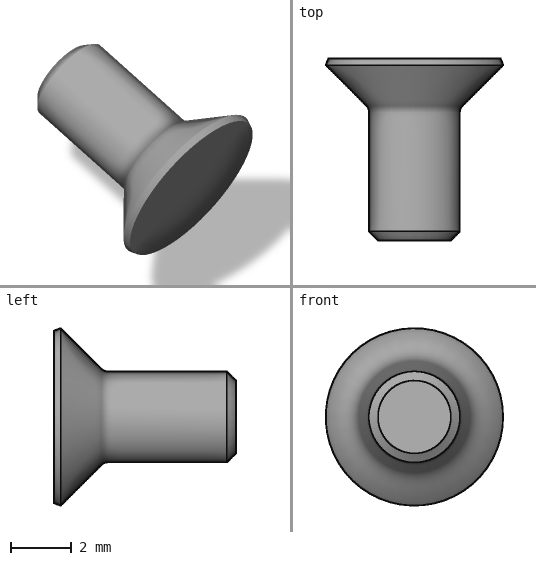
import cadquery as cq
import math

length = 6.0
head_diameter = 5.85
head_radius = head_diameter / 2
shank_radius = 1.5
tip_chamfer = 0.3
neck_fillet = 0.3
rim_height = 0.22
rim_inset = 0.085

cone_angle = math.radians(45)
rim_y = length - rim_height
cone_height = (head_radius - shank_radius) / math.tan(cone_angle)
cone_root_y = rim_y - cone_height
tangent_length = neck_fillet * math.tan(cone_angle / 2)
arc_start_y = cone_root_y - tangent_length
arc_center_radius = shank_radius + neck_fillet


def neck_point(angle):
    """Point on the neck arc, turned by angle from the shank side."""
    return (
        arc_center_radius - neck_fillet * math.cos(angle),
        arc_start_y + neck_fillet * math.sin(angle),
    )


profile = (
    cq.Workplane("XY")
    .moveTo(0, 0)
    .lineTo(shank_radius - tip_chamfer, 0)
    .lineTo(shank_radius, tip_chamfer)
    .lineTo(*neck_point(0))
    .threePointArc(neck_point(cone_angle / 2), neck_point(cone_angle))
    .lineTo(head_radius, rim_y)
    .lineTo(head_radius - rim_inset, length)
    .lineTo(0, length)
    .close()
)

result = profile.revolve(360, (0, 0, 0), (0, 1, 0))